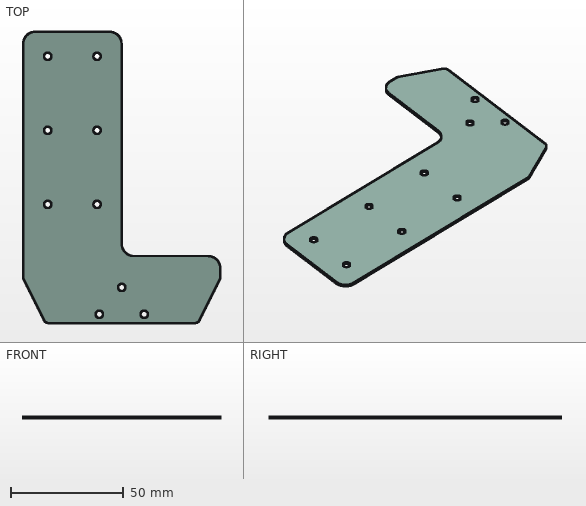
import cadquery as cq

plate_width = 88.0
plate_length = 130.0
plate_thickness = 1.0

arm_width = plate_width / 2
foot_height = 30.0
bevel_width = 10.0
bevel_height = 20.0
corner_radius = 5.5
bevel_radius = 2.5

hole_diameter = 3.2
arm_hole_rows = 3
arm_hole_row_pitch = 33.0
arm_hole_column_pitch = arm_width / 2
arm_hole_top_margin = 11.0
foot_hole_pitch = 20.0
foot_hole_low_y = 4.0
foot_hole_high_y = 16.0


def rounded(plate, corners, radius):
    """Round the upright edges that stand at the given (x, y) corners."""
    for x, y in corners:
        nearest = cq.selectors.NearestToPointSelector((x, y, plate_thickness / 2))
        plate = plate.edges("|Z").edges(nearest).fillet(radius)
    return plate


def make_plate():
    """L-shaped plate with its lower-left corner of the bounding box at the origin."""
    arm_top_left = (0, plate_length)
    arm_top_right = (arm_width, plate_length)
    inner_corner = (arm_width, foot_height)
    foot_top_right = (plate_width, foot_height)
    right_bevel_top = (plate_width, bevel_height)
    right_bevel_bottom = (plate_width - bevel_width, 0)
    left_bevel_bottom = (bevel_width, 0)
    left_bevel_top = (0, bevel_height)
    outline = [
        arm_top_left,
        arm_top_right,
        inner_corner,
        foot_top_right,
        right_bevel_top,
        right_bevel_bottom,
        left_bevel_bottom,
        left_bevel_top,
    ]
    plate = cq.Workplane("XY").polyline(outline).close().extrude(plate_thickness)
    plate = rounded(plate, [arm_top_left, arm_top_right, inner_corner, foot_top_right], corner_radius)
    bevel_corners = [right_bevel_top, right_bevel_bottom, left_bevel_bottom, left_bevel_top]
    return rounded(plate, bevel_corners, bevel_radius)


def arm_hole_centers():
    """Two columns of holes, centred across the arm and stepping down from its top."""
    centers = []
    for row in range(arm_hole_rows):
        y = plate_length - arm_hole_top_margin - row * arm_hole_row_pitch
        for side in (-1, 1):
            centers.append((arm_width / 2 + side * arm_hole_column_pitch / 2, y))
    return centers


def foot_hole_centers():
    """Triangle of holes, symmetric about the middle of the foot."""
    middle = plate_width / 2
    return [
        (middle, foot_hole_high_y),
        (middle - foot_hole_pitch / 2, foot_hole_low_y),
        (middle + foot_hole_pitch / 2, foot_hole_low_y),
    ]


def make_holes():
    """Pins that fill every through hole."""
    centers = arm_hole_centers() + foot_hole_centers()
    return cq.Workplane("XY").pushPoints(centers).circle(hole_diameter / 2).extrude(plate_thickness)


result = make_plate().cut(make_holes())